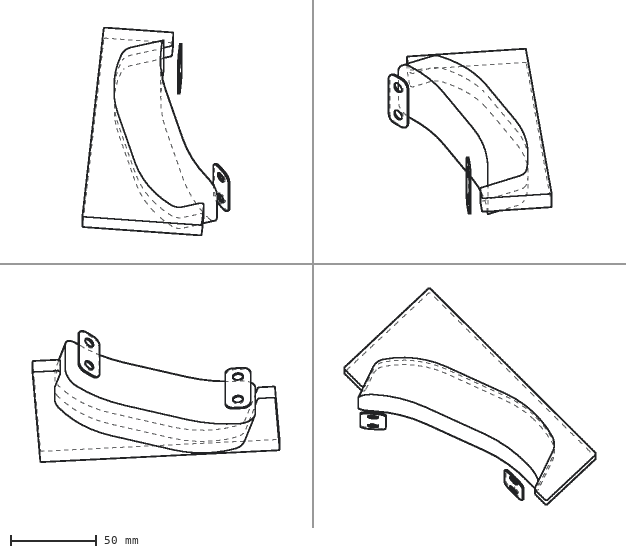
import cadquery as cq
import math

PAD_HEIGHT = 38.0
PAD_HALF_WIDTH = 58.0
PAD_STRAIGHT_HALF = 18.9
PAD_DEPTH = 29.0
PAD_BACK_RADIUS = 82.2
PAD_FRONT_RADIUS = 60.0
PAD_EDGE_RADIUS = 8.0

PLATE_THICKNESS = 10.0
PLATE_MID_Z = 1.47
PLATE_TILT = 20.6
PLATE_LENGTH = 140.0
PLATE_LEFT_WIDTH = 41.0
PLATE_RIGHT_WIDTH = 70.0
PLATE_CORNER_RADIUS = 1.0
NOTCH_CORNER_RADIUS = 1.7
PLATE_CORNER_X = 49.3
PLATE_CORNER_Y = -40.3
NOTCH_DEPTH = 77.5

TAB_WIDTH = 15.0
TAB_HEIGHT = 35.0
TAB_THICKNESS = 1.0
TAB_CORNER_RADIUS = 5.0
TAB_HOLE_DIAMETER = 6.0
TAB_HOLE_SPACING = 20.0
TAB_TILT = 20.6
TAB_X = 45.5
TAB_Y = 45.0

TOLERANCE = 0.02


def arc_rise(radius, run):
    """Rise of an arc, level at its start, after a horizontal run."""
    return radius - math.sqrt(radius**2 - run**2)


PAD_ARC_RUN = PAD_HALF_WIDTH - PAD_STRAIGHT_HALF
PAD_ARC_MID_X = PAD_STRAIGHT_HALF + PAD_ARC_RUN / 2
PAD_FRONT_MID_Y = arc_rise(PAD_FRONT_RADIUS, PAD_ARC_RUN / 2)
PAD_FRONT_END_Y = arc_rise(PAD_FRONT_RADIUS, PAD_ARC_RUN)
PAD_BACK_MID_Y = PAD_DEPTH + arc_rise(PAD_BACK_RADIUS, PAD_ARC_RUN / 2)
PAD_BACK_END_Y = PAD_DEPTH + arc_rise(PAD_BACK_RADIUS, PAD_ARC_RUN)


def pad_block(back_y):
    """Rounded pad front and sides, with a flat back face at back_y."""
    block = (
        cq.Workplane("XY")
        .workplane(offset=-PAD_HEIGHT / 2)
        .moveTo(-PAD_STRAIGHT_HALF, 0)
        .lineTo(PAD_STRAIGHT_HALF, 0)
        .threePointArc((PAD_ARC_MID_X, PAD_FRONT_MID_Y), (PAD_HALF_WIDTH, PAD_FRONT_END_Y))
        .lineTo(PAD_HALF_WIDTH, back_y)
        .lineTo(-PAD_HALF_WIDTH, back_y)
        .lineTo(-PAD_HALF_WIDTH, PAD_FRONT_END_Y)
        .threePointArc((-PAD_ARC_MID_X, PAD_FRONT_MID_Y), (-PAD_STRAIGHT_HALF, 0))
        .close()
        .extrude(PAD_HEIGHT)
    )
    front_corners = block.edges("|Z").edges(">X or <X").filter(is_pad_front_corner)
    rims = block.faces("<Z or >Z").edges("not >Y")
    return front_corners.add(rims).fillet(PAD_EDGE_RADIUS)


def is_pad_front_corner(edge):
    """True where the curved front meets a side of the pad."""
    return abs(edge.Center().y - PAD_FRONT_END_Y) < TOLERANCE


def make_pad():
    """Rounded pad with its back hollowed by a flat middle and two arcs."""
    back_hollow = (
        cq.Workplane("XY")
        .workplane(offset=-PAD_HEIGHT / 2)
        .moveTo(-PAD_HALF_WIDTH, PAD_BACK_END_Y)
        .threePointArc((-PAD_ARC_MID_X, PAD_BACK_MID_Y), (-PAD_STRAIGHT_HALF, PAD_DEPTH))
        .lineTo(PAD_STRAIGHT_HALF, PAD_DEPTH)
        .threePointArc((PAD_ARC_MID_X, PAD_BACK_MID_Y), (PAD_HALF_WIDTH, PAD_BACK_END_Y))
        .close()
        .extrude(PAD_HEIGHT)
    )
    return pad_block(PAD_BACK_END_Y).cut(back_hollow)


def make_plate():
    """Tilted board, notched around the pad, with rounded corners."""
    step_x = -PLATE_LENGTH / 2
    board = (
        cq.Workplane("XY")
        .polyline([
            (0, 0),
            (0, PLATE_RIGHT_WIDTH),
            (step_x, PLATE_RIGHT_WIDTH),
            (step_x, PLATE_LEFT_WIDTH),
            (-PLATE_LENGTH, PLATE_LEFT_WIDTH),
            (-PLATE_LENGTH, 0),
        ])
        .close()
        .extrude(PLATE_THICKNESS)
        .rotate((0, 0, 0), (0, 0, 1), -PLATE_TILT)
        .translate((PLATE_CORNER_X, PLATE_CORNER_Y, PLATE_MID_Z - PLATE_THICKNESS / 2))
    )
    plate = board.cut(pad_block(NOTCH_DEPTH))
    notch_corners = plate.edges("|Z").filter(is_notch_corner)
    plate = notch_corners.fillet(NOTCH_CORNER_RADIUS)
    board_corners = plate.edges("|Z").filter(is_board_corner)
    return board_corners.fillet(PLATE_CORNER_RADIUS)


def is_notch_corner(edge):
    """True where a notch side, flush with the pad side, meets the board's back edge."""
    center = edge.Center()
    flush_with_pad = abs(abs(center.x) - PAD_HALF_WIDTH) < TOLERANCE
    return flush_with_pad and center.y > PAD_FRONT_END_Y + PAD_EDGE_RADIUS


def is_board_corner(edge):
    """True for the four outer corners of the board."""
    center = edge.Center()
    beyond_notch = abs(center.x) > PAD_HALF_WIDTH + 2 * NOTCH_CORNER_RADIUS
    return beyond_notch or center.y < -TOLERANCE


def make_tab(side):
    """One tab; side is -1 for the left tab and +1 for the right."""
    return (
        cq.Workplane("XZ")
        .rect(TAB_WIDTH, TAB_HEIGHT)
        .extrude(TAB_THICKNESS / 2, both=True)
        .edges("|Y")
        .fillet(TAB_CORNER_RADIUS)
        .faces("<Y")
        .workplane(origin=(0, 0, 0))
        .rarray(1.5, TAB_HOLE_SPACING, 1, 2)
        .circle(TAB_HOLE_DIAMETER / 2)
        .cutThruAll()
        .rotate((0, 0, 0), (0, 0, 1), side * TAB_TILT)
        .translate((side * TAB_X, TAB_Y, 0))
    )


pad = make_pad().solids()
plate = make_plate().solids()
tabs = [make_tab(side).solids() for side in (-1, 1)]

result = cq.Compound.makeCompound([pad.val(), plate.val(), *[tab.val() for tab in tabs]])